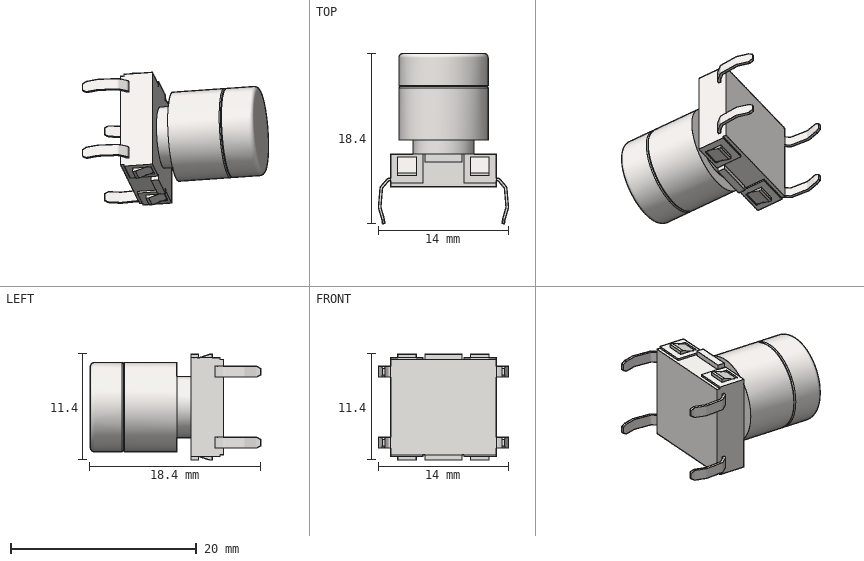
import cadquery as cq
import math


base_width = 11.38
base_depth = 3.5
base_height = 10.25
total_height = 11.4

pad_inner_x = 2.2
pad_thickness = 0.2
pad_bottom_y = 0.39
pad_top_z = base_height / 2 + pad_thickness

lug_width = 4.0
lug_length = 0.83

wedge_width = 2.02
wedge_center_x = 3.9
wedge_start_y = base_depth - 0.31
wedge_end_y = base_depth - 2.31
wedge_flat = 0.31
pocket_depth = 0.2

neck_diameter = 6.6
neck_length = 1.5
cap_diameter = 9.63
cap_fillet = 0.5
groove_width = 0.25
groove_depth = 0.11
groove_from_top = 3.58
legs_below_base = 4.0
overall_length = 18.35
cap_start_y = base_depth + neck_length
cap_end_y = overall_length - legs_below_base

leg_width = 1.2
leg_thickness = 0.3
leg_center_z = 3.82
leg_inner_radius = 0.2
leg_outer_radius = leg_inner_radius + leg_thickness
leg_embed = 0.37
leg_root_y = 0.94
tip_chamfer_length = 0.44
tip_chamfer_width = 0.25
leg_outer_corners = [
    (-base_width / 2 + leg_embed, leg_root_y),
    (-6.0, leg_root_y),
    (-6.83, -0.04),
    (-7.01, -2.24),
    (-6.65, -3.5),
    (-6.57, -legs_below_base),
]


def mirrored(shape, plane):
    """Return the shape together with its mirror image."""
    return shape.union(shape.mirror(plane))


def box(x_range, y_range, z_range):
    """Axis-aligned block between the given limits."""
    sizes = [high - low for low, high in (x_range, y_range, z_range)]
    return cq.Workplane("XY").box(*sizes, centered=False).translate((x_range[0], y_range[0], z_range[0]))


def make_base():
    half_width = base_width / 2
    half_height = base_height / 2
    block = box((-half_width, half_width), (0, base_depth), (-half_height, half_height))
    pad = box((-half_width, -pad_inner_x), (pad_bottom_y, base_depth), (half_height, pad_top_z))
    lug = box(
        (-lug_width / 2, lug_width / 2),
        (base_depth - lug_length, base_depth),
        (half_height, total_height / 2),
    )
    return block.union(mirrored(mirrored(pad, "YZ").union(lug), "XY"))


def make_wedge_pockets():
    pocket = box(
        (-wedge_center_x - wedge_width / 2, -wedge_center_x + wedge_width / 2),
        (wedge_end_y, wedge_start_y),
        (pad_top_z - pocket_depth, pad_top_z),
    )
    return mirrored(mirrored(pocket, "YZ"), "XY")


def make_wedges():
    floor_z = pad_top_z - pocket_depth
    root_z = floor_z - pocket_depth
    wedge = (
        cq.Workplane("YZ", origin=(-wedge_center_x, 0, 0))
        .polyline([
            (wedge_start_y, root_z),
            (wedge_start_y, floor_z),
            (wedge_end_y + wedge_flat, total_height / 2),
            (wedge_end_y, total_height / 2),
            (wedge_end_y, root_z),
        ])
        .close()
        .extrude(wedge_width / 2, both=True)
    )
    return mirrored(mirrored(wedge, "YZ"), "XY")


def make_plunger():
    """Neck and grooved cap, revolved about the Y axis."""
    neck_radius = neck_diameter / 2
    cap_radius = cap_diameter / 2
    groove_y = cap_end_y - groove_from_top
    fillet_inset = cap_fillet * (1 - math.sqrt(0.5))
    return (
        cq.Workplane("XY")
        .moveTo(0, base_depth)
        .lineTo(neck_radius, base_depth)
        .lineTo(neck_radius, cap_start_y)
        .lineTo(cap_radius, cap_start_y)
        .lineTo(cap_radius, groove_y - groove_width / 2)
        .lineTo(cap_radius - groove_depth, groove_y)
        .lineTo(cap_radius, groove_y + groove_width / 2)
        .lineTo(cap_radius, cap_end_y - cap_fillet)
        .threePointArc(
            (cap_radius - fillet_inset, cap_end_y - fillet_inset),
            (cap_radius - cap_fillet, cap_end_y),
        )
        .lineTo(0, cap_end_y)
        .close()
        .revolve(360, (0, 0, 0), (0, 1, 0))
    )


def offset_corners(corners, distance):
    """Shift an open chain of corners to its left, keeping the strip between them evenly thick."""
    normals = []
    for (x0, y0), (x1, y1) in zip(corners, corners[1:]):
        length = math.hypot(x1 - x0, y1 - y0)
        normals.append((-(y1 - y0) / length, (x1 - x0) / length))
    before = [normals[0]] + normals
    after = normals + [normals[-1]]
    shifted = []
    for (x, y), (ax, ay), (bx, by) in zip(corners, before, after):
        scale = distance / (1 + ax * bx + ay * by)
        shifted.append((x + scale * (ax + bx), y + scale * (ay + by)))
    return shifted


def fillet_bend(leg, corner, radius):
    selector = cq.selectors.NearestToPointSelector((corner[0], corner[1], leg_center_z))
    return leg.edges("|Z").edges(selector).fillet(radius)


def make_legs():
    outer = leg_outer_corners
    inner = offset_corners(outer, leg_thickness)
    leg = (
        cq.Workplane("XY", origin=(0, 0, leg_center_z))
        .polyline(outer + inner[::-1])
        .close()
        .extrude(leg_width / 2, both=True)
    )
    for outer_corner, inner_corner in list(zip(outer, inner))[1:-2]:
        leg = fillet_bend(leg, outer_corner, leg_outer_radius)
        leg = fillet_bend(leg, inner_corner, leg_inner_radius)

    half_width = leg_width / 2
    tip_y = -legs_below_base
    for side in (-1, 1):
        edge_z = leg_center_z + side * half_width
        corner_cut = (
            cq.Workplane("YZ", origin=(-base_width / 2, 0, 0))
            .polyline([
                (tip_y, edge_z),
                (tip_y + tip_chamfer_length, edge_z),
                (tip_y, edge_z - side * tip_chamfer_width),
            ])
            .close()
            .extrude(-base_width / 2)
        )
        leg = leg.cut(corner_cut)
    return mirrored(mirrored(leg, "YZ"), "XY")


result = (
    make_base()
    .cut(make_wedge_pockets())
    .union(make_wedges())
    .union(make_plunger())
    .union(make_legs())
)